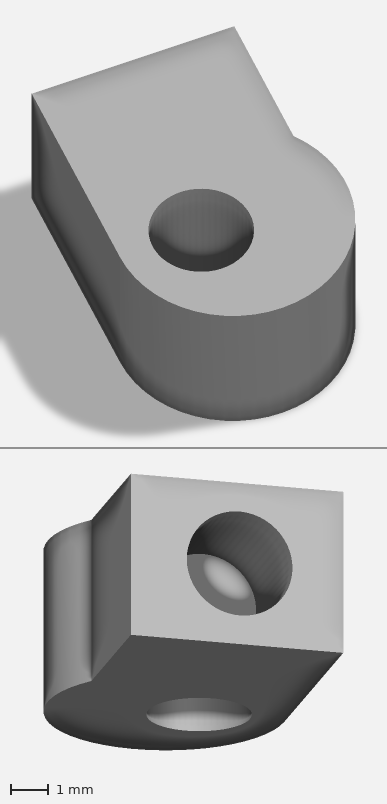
import cadquery as cq

length = 9.24
height = 4.5
head_diameter = 6.5
block_width = 5.83
cross_hole_diameter = 2.8
cross_hole_y = 2.34
end_hole_diameter = 2.9
end_hole_y = 2.85
end_hole_depth = 3.7

head_radius = head_diameter / 2
head_x = length - head_radius

block = cq.Workplane("XY").box(head_x, block_width, height, centered=False)
head = cq.Workplane("XY").center(head_x, head_radius).circle(head_radius).extrude(height)
body = block.union(head)

cross_hole = (
    cq.Workplane("XY")
    .center(head_x, cross_hole_y)
    .circle(cross_hole_diameter / 2)
    .extrude(height)
)

end_hole = (
    cq.Workplane("YZ")
    .center(end_hole_y, height / 2)
    .circle(end_hole_diameter / 2)
    .extrude(end_hole_depth)
)

result = body.cut(cross_hole).cut(end_hole)